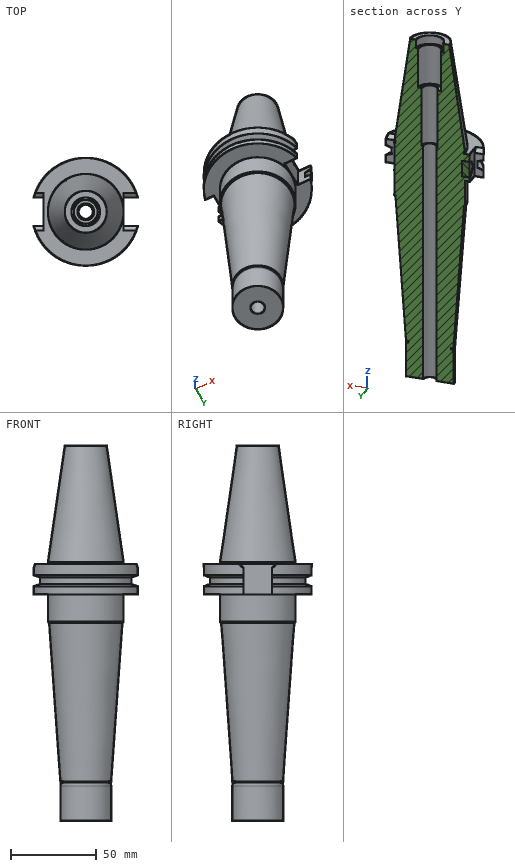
import cadquery as cq

TOTAL_LENGTH = 220.6
TAPER_LENGTH = 68.5
FLANGE_THICKNESS = 17.9
RELIEF_HEIGHT = 1.0
COLLAR_HEIGHT = 16.8
NOSE_HEIGHT = 20.5
NOSE_GROOVE_HEIGHT = 0.7
NOSE_GROOVE_DEPTH = 1.5
NOSE_LAND_HEIGHT = 2.0
NOSE_LAND_SETBACK = 0.2

FLANGE_TOP = TOTAL_LENGTH - TAPER_LENGTH - RELIEF_HEIGHT
FLANGE_BOTTOM = FLANGE_TOP - FLANGE_THICKNESS
COLLAR_BOTTOM = FLANGE_BOTTOM - COLLAR_HEIGHT

TAPER_TOP_RADIUS = 12.4
TAPER_BASE_RADIUS = 22.3
RELIEF_RADIUS = 21.6
FLANGE_RADIUS = 31.8
COLLAR_RADIUS = 22.3
COLLAR_CHAMFER = 0.7
NOSE_RADIUS = 15.0

GROOVE_ROOT_RADIUS = 28.2
GROOVE_TOP_DROP = 6.6
GROOVE_LOWER_LIP = 4.6
GROOVE_FLANK_HEIGHT = 1.3

SLOT_WIDTH = 16.5
LEFT_SLOT_FLOOR = 25.0
RIGHT_SLOT_FLOOR = 22.3
SLOT_CHAMFER = 2.6

COUNTERBORE_RADIUS = 8.4
COUNTERBORE_DEPTH = 5.5
THREAD_BORE_RADIUS = 7.0
THREAD_BORE_DEPTH = 31.0
PILOT_BORE_RADIUS = 4.9
PILOT_BORE_DEPTH = 68.5
THROUGH_BORE_RADIUS = 4.2

PLUG_RADIUS = 4.9
PLUG_DEPTH = 4.6
PLUG_HEIGHT = 8.0
PLUG_Z = FLANGE_BOTTOM + PLUG_HEIGHT


def turned_body():
    """Revolved outside shape, from the nose up to the small end of the taper."""
    land_top = NOSE_HEIGHT + NOSE_LAND_HEIGHT
    groove_top = land_top + NOSE_GROOVE_HEIGHT
    upper_lip = FLANGE_TOP - GROOVE_TOP_DROP
    lower_lip = FLANGE_BOTTOM + GROOVE_LOWER_LIP
    groove_radius = NOSE_RADIUS - NOSE_GROOVE_DEPTH
    profile = [
        (0, 0),
        (NOSE_RADIUS, 0),
        (NOSE_RADIUS, NOSE_HEIGHT),
        (NOSE_RADIUS - NOSE_LAND_SETBACK, land_top),
        (groove_radius, land_top),
        (groove_radius, groove_top),
        (NOSE_RADIUS, groove_top),
        (COLLAR_RADIUS - COLLAR_CHAMFER, COLLAR_BOTTOM),
        (COLLAR_RADIUS, COLLAR_BOTTOM + COLLAR_CHAMFER),
        (COLLAR_RADIUS, FLANGE_BOTTOM),
        (FLANGE_RADIUS, FLANGE_BOTTOM),
        (FLANGE_RADIUS, lower_lip),
        (GROOVE_ROOT_RADIUS, lower_lip + GROOVE_FLANK_HEIGHT),
        (GROOVE_ROOT_RADIUS, upper_lip - GROOVE_FLANK_HEIGHT),
        (FLANGE_RADIUS, upper_lip),
        (FLANGE_RADIUS, FLANGE_TOP),
        (RELIEF_RADIUS, FLANGE_TOP),
        (RELIEF_RADIUS, FLANGE_TOP + RELIEF_HEIGHT),
        (TAPER_BASE_RADIUS, FLANGE_TOP + RELIEF_HEIGHT),
        (TAPER_TOP_RADIUS, TOTAL_LENGTH),
        (0, TOTAL_LENGTH),
    ]
    return cq.Workplane("XZ").polyline(profile).close().revolve(360, (0, 0), (0, 1))


def drive_slot(side, floor):
    """Cutter for one slot; side is -1 or +1 along X, the top edges are chamfered."""
    half = SLOT_WIDTH / 2
    outline = [
        (-half, FLANGE_BOTTOM),
        (half, FLANGE_BOTTOM),
        (half, FLANGE_TOP - SLOT_CHAMFER),
        (half + SLOT_CHAMFER, FLANGE_TOP),
        (-half - SLOT_CHAMFER, FLANGE_TOP),
        (-half, FLANGE_TOP - SLOT_CHAMFER),
    ]
    reach = side * (FLANGE_RADIUS - floor)
    return cq.Workplane("YZ", origin=(side * floor, 0, 0)).polyline(outline).close().extrude(reach)


def bore_step(radius, depth):
    """Cutter for one bore step, reaching down from the top face."""
    return cq.Workplane("XY", origin=(0, 0, TOTAL_LENGTH)).circle(radius).extrude(-depth)


def make_plug():
    return cq.Workplane("YZ", origin=(-LEFT_SLOT_FLOOR, 0, PLUG_Z)).circle(PLUG_RADIUS).extrude(PLUG_DEPTH)


def make_holder(plug):
    holder = turned_body()
    holder = holder.cut(drive_slot(-1, LEFT_SLOT_FLOOR))
    holder = holder.cut(drive_slot(1, RIGHT_SLOT_FLOOR))
    for radius, depth in [
        (COUNTERBORE_RADIUS, COUNTERBORE_DEPTH),
        (THREAD_BORE_RADIUS, THREAD_BORE_DEPTH),
        (PILOT_BORE_RADIUS, PILOT_BORE_DEPTH),
        (THROUGH_BORE_RADIUS, TOTAL_LENGTH),
    ]:
        holder = holder.cut(bore_step(radius, depth))
    return holder.cut(plug)


plug = make_plug()
holder = make_holder(plug)
result = cq.Compound.makeCompound([holder.val(), plug.val()])